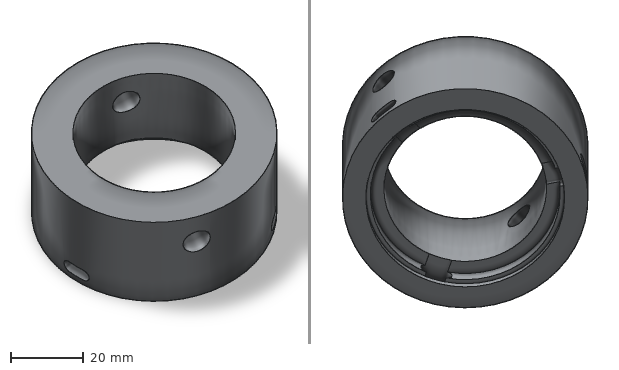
import cadquery as cq

outer_diameter = 68.0
bore_diameter = 45.0
height = 32.0

recess_diameter = 52.5
recess_depth = 5.8
rim_diameter = 55.0
rim_depth = 2.0

cross_hole_diameter = 8.0
cross_hole_height = 22.0

slot_count = 3
slot_length = 9.0
slot_width = 4.0
slot_height = 3.95


def make_ring():
    """Plain ring with a two-step recess around the bore at the bottom."""
    ring = cq.Workplane("XY").circle(outer_diameter / 2).circle(bore_diameter / 2).extrude(height)
    recess = cq.Workplane("XY").circle(recess_diameter / 2).extrude(recess_depth)
    rim = cq.Workplane("XY").circle(rim_diameter / 2).extrude(rim_depth)
    return ring.cut(recess).cut(rim)


def make_cross_hole():
    """Cutter along X that passes through both sides of the wall."""
    hole = cq.Workplane("YZ").center(0, cross_hole_height).circle(cross_hole_diameter / 2)
    return hole.extrude(outer_diameter / 2, both=True)


def make_slot(angle):
    """Round-ended radial cutter that runs from the ring axis out through the wall."""
    slot = cq.Workplane("YZ").center(0, slot_height).slot2D(slot_length, slot_width)
    return slot.extrude(-outer_diameter).rotate((0, 0, 0), (0, 0, 1), angle)


result = make_ring().cut(make_cross_hole())

for index in range(slot_count):
    result = result.cut(make_slot(index * 360 / slot_count))